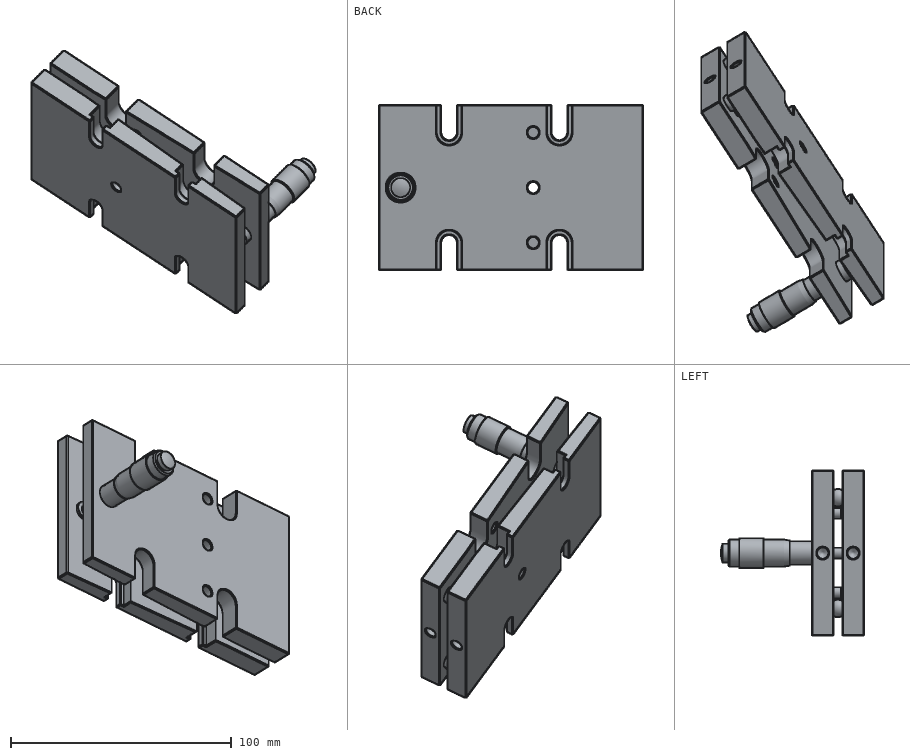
import cadquery as cq
import math

LENGTH = 120.0
HEIGHT = 75.0
PLATE_THICKNESS = 10.1
PLATE_GAP = 3.7
FLAT_LENGTH = 25.0
TAPER_ANGLE = 2.0
EDGE_CHAMFER = 0.5
MID_HEIGHT = HEIGHT / 2
BACK_PLATE_Y = PLATE_THICKNESS + PLATE_GAP
BACK_FACE_Y = BACK_PLATE_Y + PLATE_THICKNESS
TOLERANCE = 0.001
THIN_END = PLATE_THICKNESS - (LENGTH - FLAT_LENGTH) * math.tan(math.radians(TAPER_ANGLE))

SLOT_SPACING = 50.0
FIRST_SLOT_X = 38.0
SLOT_XS = (FIRST_SLOT_X, FIRST_SLOT_X + SLOT_SPACING)
SLOT_REACH = 12.5
NARROW_SLOT_WIDTH = 7.0
WIDE_SLOT_WIDTH = 11.0
COUNTERBORE_FLOOR_Y = 3.4

HOLE_DIAMETER = 5.0
HOLE_X = 49.9
HOLE_SPACING = 25.0
SIDE_HOLE_DEPTH = 12.0
DRILL_POINT_ANGLE = 118.0

BALL_DIAMETER = 8.0
BALL_X = 7.0
BALL_OFFSET = 25.1
PIN_DIAMETER = 5.0
PIN_X = 13.9
PIN_OFFSET = 18.0
PIN_DEPTH = 2.4
PIN_CLEARANCE = 0.5

MICROMETER_X = 110.0
PAD_RADIUS = 4.5
PAD_TOP_Y = 8.2
PAD_BOTTOM_Y = PAD_TOP_Y - 2.4
SPINDLE_RADIUS = 2.5
SPINDLE_TIP_RADIUS = 2.4
SPINDLE_TIP_LENGTH = 1.2
NUT_RADIUS = 5.0
SLEEVE_RADIUS = 5.4
COLLAR_START_Y = 33.7
COLLAR_START_RADIUS = 5.8
COLLAR_END_Y = 36.4
THIMBLE_RADIUS = 6.2
GRIP_START_Y = 45.8
GRIP_END_Y = 56.6
GRIP_RADIUS = 6.8
GRIP_CHAMFER = 0.4
THIMBLE_END_Y = 61.7
THIMBLE_CHAMFER = 0.7
CAP_RADIUS = 4.3
CAP_EDGE_Y = 64.2
MICROMETER_END_Y = 65.0


def slot_cutter(x, side, width, start_y, end_y):
    """Round-ended slot entering from the top (side = 1) or bottom (side = -1) edge."""
    edge_z = side * MID_HEIGHT
    end_z = edge_z - side * SLOT_REACH
    depth = end_y - start_y
    channel = cq.Workplane("XY").box(width, depth, SLOT_REACH).translate(
        (x, (start_y + end_y) / 2, (edge_z + end_z) / 2)
    )
    return channel.union(y_cylinder(x, end_z, width / 2, start_y, end_y))


def y_cylinder(x, z, radius, start_y, end_y):
    """Cylinder along Y."""
    solid = cq.Solid.makeCylinder(radius, end_y - start_y, cq.Vector(x, start_y, z), cq.Vector(0, 1, 0))
    return cq.Workplane(obj=solid)


def tapered_blank(outer_y, direction):
    """Plate whose inner face, facing direction along Y, tapers towards the +X end."""
    inner_y = outer_y + direction * PLATE_THICKNESS
    thin_end_y = outer_y + direction * THIN_END
    outline = [(0, outer_y), (LENGTH, outer_y), (LENGTH, thin_end_y), (FLAT_LENGTH, inner_y), (0, inner_y)]
    return cq.Workplane("XY").polyline(outline).close().extrude(MID_HEIGHT, both=True)


def cut_slots(plate, width, start_y, end_y):
    for x in SLOT_XS:
        for side in (1, -1):
            plate = plate.cut(slot_cutter(x, side, width, start_y, end_y))
    return plate


def is_taper_start(edge):
    """True for the shallow bend where the flat and tapered stretches of the inner face meet."""
    return all(abs(vertex.X - FLAT_LENGTH) < TOLERANCE for vertex in edge.Vertices())


def is_counterbore_rim(edge):
    """True for the edges around the wall of a wide slot, at its floor and at the inner face."""
    start = edge.startPoint()
    end = edge.endPoint()
    x_run = abs(start.x - end.x)
    runs_along_y = x_run < TOLERANCE and abs(start.z - end.z) < TOLERANCE
    joins_two_slots = x_run > WIDE_SLOT_WIDTH + TOLERANCE
    for point in (start, end):
        slot_distance = min(abs(point.x - x) for x in SLOT_XS)
        if abs(slot_distance - WIDE_SLOT_WIDTH / 2) > TOLERANCE:
            return False
    return not runs_along_y and not joins_two_slots


def drill_hole(plate, z):
    """Hole along Y through the whole plate."""
    return plate.cut(y_cylinder(HOLE_X, z, HOLE_DIAMETER / 2, 0, BACK_FACE_Y))


def chamfer_edges(plate, edges):
    """Bevel the given edges, except the taper bends."""
    return plate.newObject([edge for edge in edges if not is_taper_start(edge)]).chamfer(EDGE_CHAMFER)


def side_hole_cutter(y):
    """Blind drilled hole with a bevelled mouth and conical bottom, entering the -X end at mid height."""
    radius = HOLE_DIAMETER / 2
    point_length = radius / math.tan(math.radians(DRILL_POINT_ANGLE / 2))
    profile = [
        (0, y),
        (0, y + radius + EDGE_CHAMFER),
        (EDGE_CHAMFER, y + radius),
        (SIDE_HOLE_DEPTH, y + radius),
        (SIDE_HOLE_DEPTH + point_length, y),
    ]
    return cq.Workplane("XY").polyline(profile).close().revolve(360, (0, y), (1, y))


def make_front_plate():
    plate = tapered_blank(0, 1)
    plate = cut_slots(plate, NARROW_SLOT_WIDTH, 0, COUNTERBORE_FLOOR_Y)
    plate = cut_slots(plate, WIDE_SLOT_WIDTH, COUNTERBORE_FLOOR_Y, PLATE_THICKNESS)
    plate = drill_hole(plate, 0)
    plate = chamfer_edges(plate, [edge for edge in plate.edges().vals() if not is_counterbore_rim(edge)])
    return plate.cut(side_hole_cutter(PLATE_THICKNESS / 2))


def make_back_plate():
    plate = tapered_blank(BACK_FACE_Y, -1)
    plate = cut_slots(plate, WIDE_SLOT_WIDTH, BACK_PLATE_Y, BACK_FACE_Y)
    for z in (-HOLE_SPACING, 0, HOLE_SPACING):
        plate = drill_hole(plate, z)
    plate = chamfer_edges(plate, plate.edges().vals())
    return plate.cut(side_hole_cutter(BACK_FACE_Y - PLATE_THICKNESS / 2))


def make_ball(side):
    ball_y = PLATE_THICKNESS + PLATE_GAP / 2
    return cq.Workplane("XY").sphere(BALL_DIAMETER / 2).translate((BALL_X, ball_y, side * BALL_OFFSET))


def make_pin(side):
    start_y = PLATE_THICKNESS + PIN_CLEARANCE
    end_y = BACK_PLATE_Y + PIN_DEPTH
    return y_cylinder(PIN_X, side * PIN_OFFSET, PIN_DIAMETER / 2, start_y, end_y)


def make_micrometer():
    """Contact pad, spindle, nut, sleeve and thimble, turned from one profile with a domed end."""
    tip_end_y = PAD_TOP_Y + SPINDLE_TIP_LENGTH
    steps = [
        (PAD_RADIUS, PAD_BOTTOM_Y),
        (PAD_RADIUS, PAD_TOP_Y),
        (SPINDLE_TIP_RADIUS, PAD_TOP_Y),
        (SPINDLE_RADIUS, tip_end_y),
        (SPINDLE_RADIUS, BACK_PLATE_Y),
        (NUT_RADIUS, BACK_PLATE_Y),
        (NUT_RADIUS, BACK_FACE_Y - THIN_END / 2),
        (SLEEVE_RADIUS, BACK_FACE_Y - THIN_END / 2),
        (SLEEVE_RADIUS, COLLAR_START_Y),
        (COLLAR_START_RADIUS, COLLAR_START_Y),
        (THIMBLE_RADIUS, COLLAR_END_Y),
        (THIMBLE_RADIUS, GRIP_START_Y - GRIP_CHAMFER),
        (GRIP_RADIUS - GRIP_CHAMFER, GRIP_START_Y - GRIP_CHAMFER),
        (GRIP_RADIUS, GRIP_START_Y),
        (GRIP_RADIUS, GRIP_END_Y),
        (THIMBLE_RADIUS, GRIP_END_Y),
        (THIMBLE_RADIUS, THIMBLE_END_Y - THIMBLE_CHAMFER),
        (THIMBLE_RADIUS - THIMBLE_CHAMFER, THIMBLE_END_Y),
        (CAP_RADIUS, THIMBLE_END_Y),
        (CAP_RADIUS, CAP_EDGE_Y),
    ]
    dome_height = MICROMETER_END_Y - CAP_EDGE_Y
    dome_radius = (CAP_RADIUS**2 + dome_height**2) / (2 * dome_height)
    turned = (
        cq.Workplane("XY")
        .polyline([(0, PAD_BOTTOM_Y)] + steps)
        .radiusArc((0, MICROMETER_END_Y), -dome_radius)
        .close()
        .revolve(360, (0, 0), (0, 1))
    )
    return turned.translate((MICROMETER_X, 0, 0))


result = make_front_plate().union(make_back_plate()).union(make_micrometer())
for side in (1, -1):
    result = result.union(make_ball(side)).union(make_pin(side))